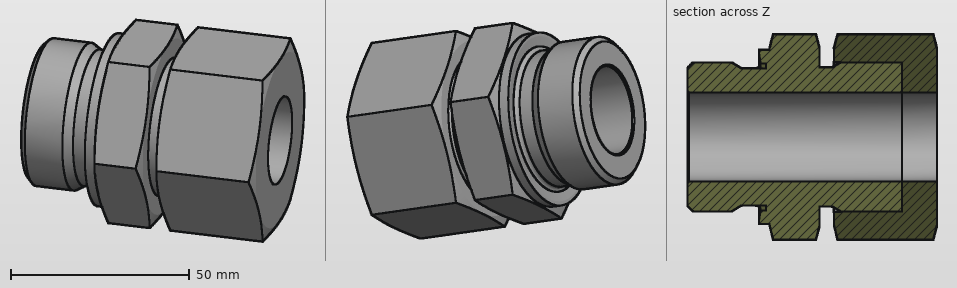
import cadquery as cq
import math

collar_x = 20.0
hex_x = 22.95
hex_end_x = 37.1
nut_x = 41.0
nut_end_x = 70.0

across_flats = 50.0
corner_radius = across_flats / math.sqrt(3)
hex_chamfer_angle = 15.0
hex_chamfer_radius = across_flats / 2 - 0.1

bore_radius = 12.45
bore_chamfer = 0.4

stud_radius = 20.9
stud_chamfer = 1.55
stud_thread_end_x = 12.45
undercut_x = 15.1
undercut_radius = 19.3

collar_radius = 24.5
collar_rim_radius = 23.4
collar_face_angle = 8.0

seal_tip_x = 19.2
seal_round_radius = 1.25
seal_radius = undercut_radius + seal_round_radius
seal_front_x = seal_tip_x + seal_round_radius
seal_seat_x = 22.0

neck_radius = 19.6
neck_end_x = 40.6
thread_radius = 21.0
thread_lead_angle = 30.0
thread_start_x = neck_end_x + (thread_radius - neck_radius) / math.tan(math.radians(thread_lead_angle))
thread_end_x = 60.2


def revolve_about_x(profile):
    """Revolve a closed profile drawn in (X, radius) about the X axis."""
    return profile.revolve(360, (0, 0, 0), (1, 0, 0))


def hex_prism(start_x, end_x):
    """Hexagonal prism along X with corners on +Y and -Y, both ends chamfered."""
    length = end_x - start_x
    prism = cq.Workplane("YZ", origin=(start_x, 0, 0)).polygon(6, 2 * corner_radius).extrude(length)
    chamfer_depth = (corner_radius - hex_chamfer_radius) * math.tan(math.radians(hex_chamfer_angle))
    envelope = revolve_about_x(
        cq.Workplane("XY")
        .moveTo(start_x, 0)
        .lineTo(start_x, hex_chamfer_radius)
        .lineTo(start_x + chamfer_depth, corner_radius)
        .lineTo(end_x - chamfer_depth, corner_radius)
        .lineTo(end_x, hex_chamfer_radius)
        .lineTo(end_x, 0)
        .close()
    )
    return prism.intersect(envelope)


def bore(start_x, end_x):
    """Cylinder that clears the bore between two positions."""
    return cq.Workplane("YZ", origin=(start_x, 0, 0)).circle(bore_radius).extrude(end_x - start_x)


def bore_mouth():
    """Cone that chamfers the bore at the stud end."""
    return revolve_about_x(
        cq.Workplane("XY")
        .moveTo(0, 0)
        .lineTo(0, bore_radius + bore_chamfer)
        .lineTo(bore_chamfer, bore_radius)
        .lineTo(bore_chamfer, 0)
        .close()
    )


def make_body():
    """Stud, collar, hexagon and threaded end turned in one piece."""
    collar_face_depth = (collar_rim_radius - seal_radius) * math.tan(math.radians(collar_face_angle))
    stud = revolve_about_x(
        cq.Workplane("XY")
        .moveTo(0, 0)
        .lineTo(0, stud_radius - stud_chamfer)
        .lineTo(stud_chamfer, stud_radius)
        .lineTo(stud_thread_end_x, stud_radius)
        .lineTo(undercut_x, undercut_radius)
        .lineTo(seal_seat_x, undercut_radius)
        .lineTo(seal_seat_x, seal_radius)
        .lineTo(collar_x + collar_face_depth, seal_radius)
        .lineTo(collar_x, collar_rim_radius)
        .lineTo(collar_x, collar_radius)
        .lineTo(hex_x, collar_radius)
        .lineTo(hex_x, 0)
        .close()
    )
    threaded_end = revolve_about_x(
        cq.Workplane("XY")
        .moveTo(hex_end_x, 0)
        .lineTo(hex_end_x, neck_radius)
        .lineTo(neck_end_x, neck_radius)
        .lineTo(thread_start_x, thread_radius)
        .lineTo(thread_end_x, thread_radius)
        .lineTo(thread_end_x, 0)
        .close()
    )
    solid = stud.union(hex_prism(hex_x, hex_end_x)).union(threaded_end)
    return solid.cut(bore(0, thread_end_x)).cut(bore_mouth())


def make_seal_ring():
    """Ring seated in the collar pocket, its front hollowed by a quarter round."""
    diagonal = seal_round_radius * math.sqrt(0.5)
    return revolve_about_x(
        cq.Workplane("XY")
        .moveTo(seal_tip_x, undercut_radius)
        .threePointArc((seal_tip_x + diagonal, seal_radius - diagonal), (seal_front_x, seal_radius))
        .lineTo(seal_seat_x, seal_radius)
        .lineTo(seal_seat_x, undercut_radius)
        .close()
    )


def make_nut():
    """Union nut with a threaded socket and an end wall that continues the bore."""
    socket_depth = thread_end_x - nut_x
    socket = cq.Workplane("YZ", origin=(nut_x, 0, 0)).circle(thread_radius).extrude(socket_depth)
    return hex_prism(nut_x, nut_end_x).cut(socket).cut(bore(thread_end_x, nut_end_x))


body = make_body().solids()
seal_ring = make_seal_ring()
nut = make_nut().solids()

result = cq.Compound.makeCompound([body.val(), seal_ring.val(), nut.val()])